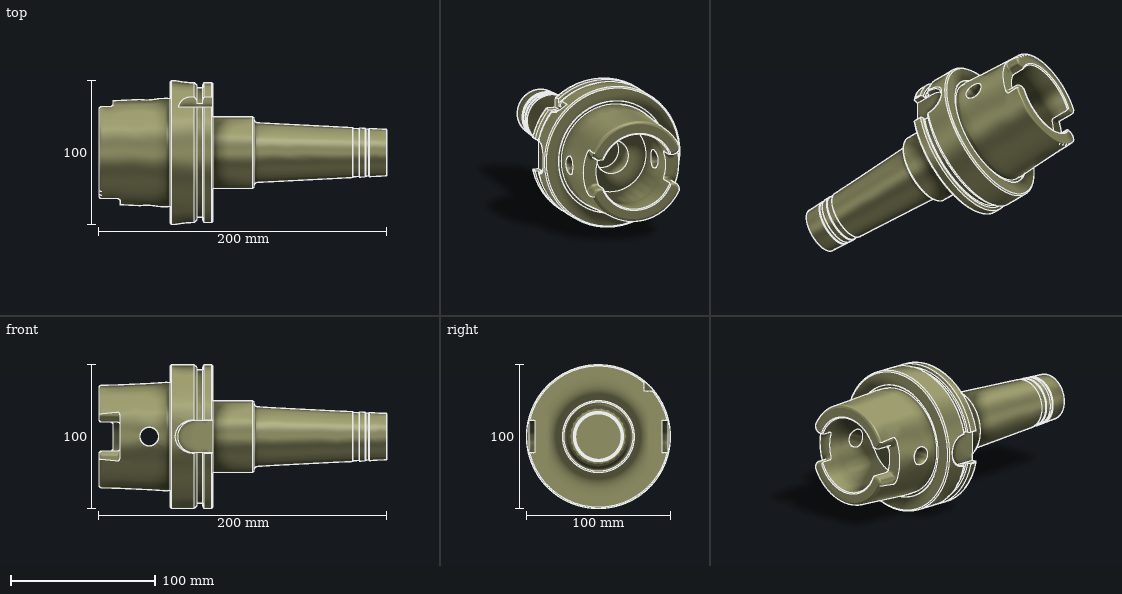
import cadquery as cq
import math

LENGTH = 200.0

SHANK_MOUTH_RADIUS = 35.6
SHANK_BASE_RADIUS = 37.8
SHANK_TAPER_END = 47.2
SHANK_NECK_START = 48.5
SHANK_NECK_RADIUS = 37.6
MOUTH_ROUND = 2.0

FLANGE_RADIUS = 50.0
FLANGE_START = 49.5
FLANGE_END = 79.2
FLANGE_CHAMFER = 1.0
FACE_RELIEF_RADIUS = 39.8
FACE_RELIEF_DEPTH = 1.0
GROOVE_START = 68.2
GROOVE_END = 72.0
GROOVE_RADIUS = 46.5
GROOVE_LIP_DEPTH = 2.0
GROOVE_FRONT_LIP = 2.0
GROOVE_REAR_LIP = 1.0

HUB_RADIUS = 25.0
HUB_END = 107.8
HUB_CHAMFER = 1.0
NOSE_FILLET = 2.5
NOSE_START = HUB_END + NOSE_FILLET
NOSE_START_RADIUS = 20.8
NOSE_END_RADIUS = 16.2
NOSE_CHAMFER = 0.5
RING_GROOVES = ((176.0, 181.0), (184.8, 187.8))
RING_GROOVE_DEPTH = 0.5

ROUGH_BORE_RADIUS = 18.0
BORE_RADIUS = 26.6
BORE_CHAMFER = 0.8
BORE_STRAIGHT_END = 20.0
BORE_FLOOR_RADIUS = 24.8
BORE_DEPTH = 50.0
PILOT_RADIUS = 11.8
PILOT_DEPTH = 70.0

CROSS_HOLE_X = 35.0
CROSS_HOLE_RADIUS = 6.5

DRIVE_HALF_WIDTH = 10.0
DRIVE_DEPTH_FRONT = 14.8
DRIVE_DEPTH_BACK = 9.8
DRIVE_SHOULDER = 32.0
DRIVE_LIP_ROUND = 5.0
DRIVE_FLOOR_ROUND = 1.8

KEYWAY_HALF_WIDTH = 11.2
KEYWAY_FLOOR = 44.0
KEYWAY_TIP = 54.8
KEYWAY_FLARE_START = 48.2
KEYWAY_FLARE_ANGLE = 45.0

NOTCH_OFFSET = 31.6
NOTCH_START = 54.8
NOTCH_END_RADIUS = 9.8


def nose_radius(x):
    """Radius of the nose cone at position x."""
    share = (x - NOSE_START) / (LENGTH - NOSE_START)
    return NOSE_START_RADIUS + share * (NOSE_END_RADIUS - NOSE_START_RADIUS)


def turned_body():
    flange_edge = FLANGE_RADIUS - FLANGE_CHAMFER
    lip_radius = FLANGE_RADIUS - GROOVE_LIP_DEPTH
    relief_x = FLANGE_START + FACE_RELIEF_DEPTH
    nose_arc_inset = NOSE_FILLET * (1 - math.sqrt(0.5))
    profile = (
        cq.Workplane("XY")
        .moveTo(0, 0)
        .lineTo(0, SHANK_MOUTH_RADIUS)
        .lineTo(SHANK_TAPER_END, SHANK_BASE_RADIUS)
        .lineTo(SHANK_NECK_START, SHANK_NECK_RADIUS)
        .lineTo(relief_x, SHANK_NECK_RADIUS)
        .lineTo(relief_x, FACE_RELIEF_RADIUS)
        .lineTo(FLANGE_START, FACE_RELIEF_RADIUS)
        .lineTo(FLANGE_START, flange_edge)
        .lineTo(FLANGE_START + FLANGE_CHAMFER, FLANGE_RADIUS)
        .lineTo(GROOVE_START - GROOVE_FRONT_LIP, FLANGE_RADIUS)
        .lineTo(GROOVE_START, lip_radius)
        .lineTo(GROOVE_START, GROOVE_RADIUS)
        .lineTo(GROOVE_END, GROOVE_RADIUS)
        .lineTo(GROOVE_END, lip_radius)
        .lineTo(GROOVE_END + GROOVE_REAR_LIP, FLANGE_RADIUS)
        .lineTo(FLANGE_END - FLANGE_CHAMFER, FLANGE_RADIUS)
        .lineTo(FLANGE_END, flange_edge)
        .lineTo(FLANGE_END, HUB_RADIUS)
        .lineTo(HUB_END - HUB_CHAMFER, HUB_RADIUS)
        .lineTo(HUB_END, HUB_RADIUS - HUB_CHAMFER)
        .lineTo(HUB_END, NOSE_START_RADIUS + NOSE_FILLET)
        .threePointArc(
            (HUB_END + nose_arc_inset, NOSE_START_RADIUS + nose_arc_inset),
            (NOSE_START, NOSE_START_RADIUS),
        )
    )
    for start, end in RING_GROOVES:
        profile = (
            profile.lineTo(start, nose_radius(start))
            .lineTo(start + RING_GROOVE_DEPTH, nose_radius(start) - RING_GROOVE_DEPTH)
            .lineTo(end - RING_GROOVE_DEPTH, nose_radius(end) - RING_GROOVE_DEPTH)
            .lineTo(end, nose_radius(end))
        )
    profile = (
        profile.lineTo(LENGTH - NOSE_CHAMFER, nose_radius(LENGTH - NOSE_CHAMFER))
        .lineTo(LENGTH, NOSE_END_RADIUS - NOSE_CHAMFER)
        .lineTo(LENGTH, 0)
        .close()
    )
    return profile.revolve(360, (0, 0, 0), (1, 0, 0))


def rough_bore_cutter():
    """Undersized bore that opens the mouth, so its rim can be rounded before the bore is finished."""
    return cq.Workplane("YZ").circle(ROUGH_BORE_RADIUS).extrude(BORE_DEPTH)


def bore_cutter():
    return (
        cq.Workplane("XY")
        .polyline([
            (0, 0),
            (0, BORE_RADIUS + BORE_CHAMFER),
            (BORE_CHAMFER, BORE_RADIUS),
            (BORE_STRAIGHT_END, BORE_RADIUS),
            (BORE_DEPTH, BORE_FLOOR_RADIUS),
            (BORE_DEPTH, PILOT_RADIUS),
            (PILOT_DEPTH, PILOT_RADIUS),
            (PILOT_DEPTH, 0),
        ])
        .close()
        .revolve(360, (0, 0, 0), (1, 0, 0))
    )


def cross_hole_cutter():
    """Plain round hole through both walls of the shank."""
    return (
        cq.Workplane("XZ")
        .center(CROSS_HOLE_X, 0)
        .circle(CROSS_HOLE_RADIUS)
        .extrude(FLANGE_RADIUS, both=True)
    )


def keyway_cutter():
    """Round-ended keyway on the +Y side, open toward the nose, with chamfered upper edges."""
    length = FLANGE_END - KEYWAY_TIP + KEYWAY_HALF_WIDTH
    outline = cq.Sketch().slot(length, 2 * KEYWAY_HALF_WIDTH)
    centre_x = KEYWAY_TIP + KEYWAY_HALF_WIDTH + length / 2
    straight = (
        cq.Workplane("XZ", origin=(centre_x, KEYWAY_FLOOR, 0))
        .placeSketch(outline)
        .extrude(KEYWAY_FLOOR - FLANGE_RADIUS)
    )
    chamfer = (
        cq.Workplane("XZ", origin=(centre_x, KEYWAY_FLARE_START, 0))
        .placeSketch(outline)
        .extrude(KEYWAY_FLARE_START - FLANGE_RADIUS, taper=-KEYWAY_FLARE_ANGLE)
    )
    return straight.union(chamfer)


def drive_slot_cutter(side, depth):
    """Slot in the mouth on the given Y side, opening through rounded lips onto a wide flat shoulder."""
    lip_start = DRIVE_SHOULDER - DRIVE_LIP_ROUND
    lip_half_width = DRIVE_HALF_WIDTH + DRIVE_LIP_ROUND
    arc_offset = DRIVE_LIP_ROUND * math.sqrt(0.5)
    arc_y = lip_start + arc_offset
    arc_z = lip_half_width - arc_offset
    return (
        cq.Workplane("YZ")
        .moveTo(0, -DRIVE_HALF_WIDTH)
        .lineTo(side * lip_start, -DRIVE_HALF_WIDTH)
        .threePointArc((side * arc_y, -arc_z), (side * DRIVE_SHOULDER, -lip_half_width))
        .lineTo(side * DRIVE_SHOULDER, -FLANGE_RADIUS)
        .lineTo(side * FLANGE_RADIUS, -FLANGE_RADIUS)
        .lineTo(side * FLANGE_RADIUS, FLANGE_RADIUS)
        .lineTo(side * DRIVE_SHOULDER, FLANGE_RADIUS)
        .lineTo(side * DRIVE_SHOULDER, lip_half_width)
        .threePointArc((side * arc_y, arc_z), (side * lip_start, DRIVE_HALF_WIDTH))
        .lineTo(0, DRIVE_HALF_WIDTH)
        .close()
        .extrude(depth)
        .faces(">X")
        .edges()
        .fillet(DRIVE_FLOOR_ROUND)
    )


def corner_notch_cutter():
    """Square-shouldered notch toward +Y and +Z with a rounded run-out."""
    length = FLANGE_END - NOTCH_START
    size = FLANGE_RADIUS - NOTCH_OFFSET
    return (
        cq.Workplane("XY")
        .box(length, size, size, centered=False)
        .edges("<X and <Z")
        .fillet(NOTCH_END_RADIUS)
        .translate((NOTCH_START, NOTCH_OFFSET, NOTCH_OFFSET))
    )


result = turned_body()
result = result.cut(cross_hole_cutter())
result = result.cut(rough_bore_cutter())
result = result.cut(drive_slot_cutter(-1, DRIVE_DEPTH_FRONT))
result = result.cut(drive_slot_cutter(1, DRIVE_DEPTH_BACK))
result = result.faces("<X").edges().fillet(MOUTH_ROUND)
result = result.cut(bore_cutter())
result = result.cut(keyway_cutter())
result = result.cut(keyway_cutter().mirror("XZ"))
result = result.cut(corner_notch_cutter())